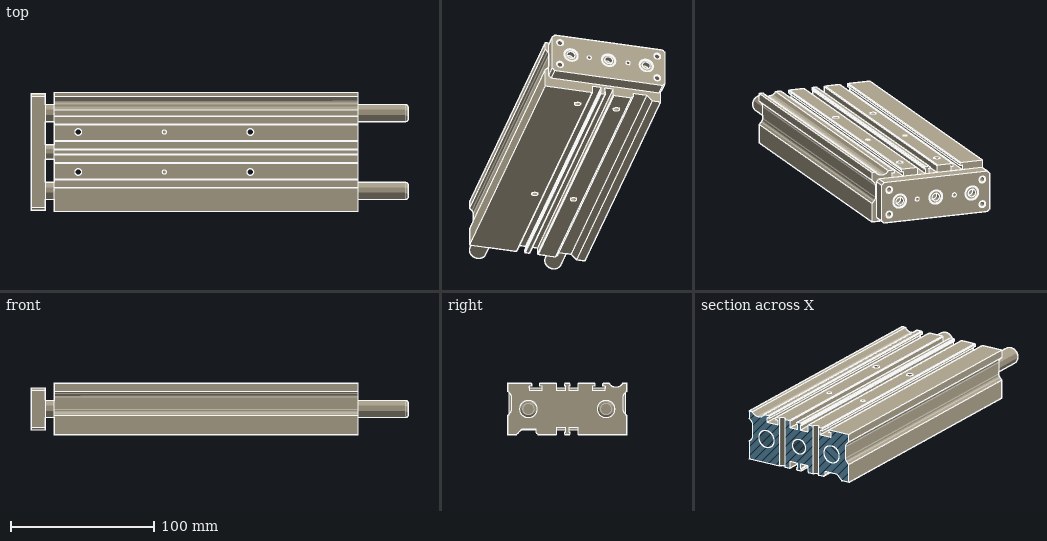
import cadquery as cq

TOTAL_LENGTH = 263.0
PLATE_THICKNESS = 10.0
HOUSING_START = 16.0
HOUSING_END = 228.0

HOUSING_WIDTH = 83.0
HOUSING_HEIGHT = 36.0
HALF_WIDTH = HOUSING_WIDTH / 2
HALF_HEIGHT = HOUSING_HEIGHT / 2

T_SLOT_OFFSET = 22.0
T_SLOT_MOUTH = 5.3
T_SLOT_WIDTH = 8.7
T_SLOT_LIP = 2.0
T_SLOT_DEPTH = 5.3

CHANNEL_WIDTH = 14.7
CHANNEL_DEPTH = 5.3
RAIL_HEAD_WIDTH = 4.0
RAIL_HEAD_THICKNESS = 1.8
RAIL_NECK_WIDTH = 2.5

EDGE_BEVEL = 0.5

ROUND_GROOVE_OFFSET = 34.0
ROUND_GROOVE_WIDTH = 9.5
ROUND_GROOVE_DEPTH = 2.5
ROUND_GROOVE_FLAT = 0.8

BOTTOM_GROOVE_INNER = 21.8
BOTTOM_GROOVE_OUTER = 35.5
BOTTOM_GROOVE_DEPTH = 4.0
BOTTOM_GROOVE_CHAMFER = 1.5

SIDE_GROOVE_HEIGHT = 16.8
SIDE_GROOVE_DEPTH = 2.5
SIDE_GROOVE_CENTRE = 4.0
SIDE_GROOVE_FILLET = 3.5

MOUNT_HOLE_DIAMETER = 4.5
MOUNT_HOLE_START = 33.0
MOUNT_HOLE_PITCH = 120.0
PIN_HOLE_DIAMETER = 3.0
PIN_HOLE_DEPTH = 5.3
HOLE_OFFSET = 14.0

PLATE_WIDTH = 81.3
PLATE_HEIGHT = 29.5
PLATE_CHAMFER = 1.8
CORNER_HOLE_DIAMETER = 4.0
CORNER_HOLE_CHAMFER = 0.5
CORNER_HOLE_OFFSET_Y = 35.0
CORNER_HOLE_OFFSET_Z = 9.0

GUIDE_ROD_DIAMETER = 12.0
GUIDE_ROD_OFFSET = 27.0
GUIDE_ROD_FILLET = 2.0
PISTON_ROD_DIAMETER = 10.3
PISTON_ROD_END = 210.5
SPIGOT_DIAMETER = 9.0
SPIGOT_HOLE_CHAMFER = 0.65
SOCKET_DIAMETER = 5.5
SOCKET_DEPTH = 5.3


def x_cylinder(diameter, start, end, y=0.0, z=0.0):
    """Cylinder along X from start to end."""
    return (
        cq.Workplane("YZ", origin=(start, y, z))
        .circle(diameter / 2)
        .extrude(end - start)
    )


def profile_plane():
    """YZ plane at the front end of the housing."""
    return cq.Workplane("YZ", origin=(HOUSING_START, 0, 0))


def housing_bar(y_min, y_max, z_min, z_max):
    """Rectangular bar as long as the housing."""
    length = HOUSING_END - HOUSING_START
    size = (length, y_max - y_min, z_max - z_min)
    return cq.Workplane().box(*size, centered=False).translate((HOUSING_START, y_min, z_min))


def extrude_profile(sketch):
    """Close a section and extend it along the whole housing."""
    return sketch.close().extrude(HOUSING_END - HOUSING_START)


def beveled_mouth(width, depth, y=0.0):
    """Slot of the top face that widens by a 45 degree bevel at each upper edge."""
    half = width / 2
    floor = HALF_HEIGHT - depth
    bevel_bottom = HALF_HEIGHT - EDGE_BEVEL
    return extrude_profile(
        profile_plane()
        .moveTo(y - half - EDGE_BEVEL, HALF_HEIGHT)
        .lineTo(y - half, bevel_bottom)
        .lineTo(y - half, floor)
        .lineTo(y + half, floor)
        .lineTo(y + half, bevel_bottom)
        .lineTo(y + half + EDGE_BEVEL, HALF_HEIGHT)
    )


def t_slot(y):
    """Slot with a narrow mouth and a wider room below it."""
    room = housing_bar(
        y - T_SLOT_WIDTH / 2,
        y + T_SLOT_WIDTH / 2,
        HALF_HEIGHT - T_SLOT_DEPTH,
        HALF_HEIGHT - T_SLOT_LIP,
    )
    return beveled_mouth(T_SLOT_MOUTH, T_SLOT_DEPTH, y).union(room)


def central_channel():
    """Channel of the top face, cut around its T-shaped rail."""
    neck = housing_bar(
        -RAIL_NECK_WIDTH / 2,
        RAIL_NECK_WIDTH / 2,
        HALF_HEIGHT - CHANNEL_DEPTH,
        HALF_HEIGHT,
    )
    head = housing_bar(
        -RAIL_HEAD_WIDTH / 2,
        RAIL_HEAD_WIDTH / 2,
        HALF_HEIGHT - RAIL_HEAD_THICKNESS,
        HALF_HEIGHT,
    )
    head = head.faces(">Z").edges("|X").chamfer(EDGE_BEVEL)
    return beveled_mouth(CHANNEL_WIDTH, CHANNEL_DEPTH).cut(neck).cut(head)


def round_groove():
    """Groove of the top face: a narrow flat floor between two circular arcs tangent to it."""
    flat_half = ROUND_GROOVE_FLAT / 2
    run = ROUND_GROOVE_WIDTH / 2 - flat_half
    radius = (run**2 + ROUND_GROOVE_DEPTH**2) / (2 * ROUND_GROOVE_DEPTH)
    bottom = HALF_HEIGHT - ROUND_GROOVE_DEPTH
    inner_rim = ROUND_GROOVE_OFFSET - ROUND_GROOVE_WIDTH / 2
    outer_rim = ROUND_GROOVE_OFFSET + ROUND_GROOVE_WIDTH / 2
    return extrude_profile(
        profile_plane()
        .moveTo(inner_rim, HALF_HEIGHT)
        .radiusArc((ROUND_GROOVE_OFFSET - flat_half, bottom), -radius)
        .lineTo(ROUND_GROOVE_OFFSET + flat_half, bottom)
        .radiusArc((outer_rim, HALF_HEIGHT), -radius)
    )


def bottom_groove():
    """Groove of the bottom face: one side upright with a chamfered edge, the other at 45 degrees."""
    floor = -HALF_HEIGHT + BOTTOM_GROOVE_DEPTH
    return extrude_profile(
        profile_plane()
        .moveTo(-BOTTOM_GROOVE_INNER + BOTTOM_GROOVE_CHAMFER, -HALF_HEIGHT)
        .lineTo(-BOTTOM_GROOVE_INNER, -HALF_HEIGHT + BOTTOM_GROOVE_CHAMFER)
        .lineTo(-BOTTOM_GROOVE_INNER, floor)
        .lineTo(-BOTTOM_GROOVE_OUTER + BOTTOM_GROOVE_DEPTH, floor)
        .lineTo(-BOTTOM_GROOVE_OUTER, -HALF_HEIGHT)
    )


def side_groove():
    """Groove of the +Y side with 45 degree flanks that blend into its floor."""
    floor = HALF_WIDTH - SIDE_GROOVE_DEPTH
    mouth_half = SIDE_GROOVE_HEIGHT / 2
    floor_half = mouth_half - SIDE_GROOVE_DEPTH
    groove = extrude_profile(
        profile_plane()
        .moveTo(HALF_WIDTH, SIDE_GROOVE_CENTRE + mouth_half)
        .lineTo(floor, SIDE_GROOVE_CENTRE + floor_half)
        .lineTo(floor, SIDE_GROOVE_CENTRE - floor_half)
        .lineTo(HALF_WIDTH, SIDE_GROOVE_CENTRE - mouth_half)
    )
    return groove.faces("<Y").edges("|X").fillet(SIDE_GROOVE_FILLET)


def vertical_holes(x_positions, diameter, depth):
    """Pairs of holes drilled down from the top face."""
    points = [(x, y) for x in x_positions for y in (-HOLE_OFFSET, HOLE_OFFSET)]
    return (
        cq.Workplane("XY", origin=(0, 0, HALF_HEIGHT))
        .pushPoints(points)
        .circle(diameter / 2)
        .extrude(-depth)
    )


def make_housing():
    housing = housing_bar(-HALF_WIDTH, HALF_WIDTH, -HALF_HEIGHT, HALF_HEIGHT)
    for side in (-1, 1):
        housing = housing.cut(t_slot(side * T_SLOT_OFFSET))

    housing = housing.cut(central_channel()).cut(central_channel().mirror("XY"))
    housing = housing.cut(side_groove()).cut(side_groove().mirror("XZ"))
    housing = housing.cut(round_groove()).cut(bottom_groove())

    mount_x = (MOUNT_HOLE_START, MOUNT_HOLE_START + MOUNT_HOLE_PITCH)
    pin_x = sum(mount_x) / 2
    housing = housing.cut(vertical_holes(mount_x, MOUNT_HOLE_DIAMETER, HOUSING_HEIGHT))
    housing = housing.cut(vertical_holes([pin_x], PIN_HOLE_DIAMETER, PIN_HOLE_DEPTH))

    for side in (-1, 1):
        bore = x_cylinder(GUIDE_ROD_DIAMETER, HOUSING_START, HOUSING_END, side * GUIDE_ROD_OFFSET)
        housing = housing.cut(bore)
    return housing.cut(x_cylinder(PISTON_ROD_DIAMETER, HOUSING_START, PISTON_ROD_END))


def chamfered_hole(diameter, chamfer, y, z=0.0):
    """Hole through the plate, widened by a chamfer at its outer face."""
    hole = x_cylinder(diameter, 0, PLATE_THICKNESS, y, z)
    countersink = (
        cq.Workplane("YZ", origin=(0, y, z))
        .circle(diameter / 2 + chamfer)
        .extrude(chamfer, taper=45)
    )
    return hole.union(countersink)


def make_plate():
    plate = (
        cq.Workplane()
        .box(PLATE_THICKNESS, PLATE_WIDTH, PLATE_HEIGHT)
        .translate((PLATE_THICKNESS / 2, 0, 0))
        .edges("|X")
        .chamfer(PLATE_CHAMFER)
    )
    for y in (-GUIDE_ROD_OFFSET, 0, GUIDE_ROD_OFFSET):
        plate = plate.cut(chamfered_hole(SPIGOT_DIAMETER, SPIGOT_HOLE_CHAMFER, y))
    for side in (-1, 1):
        plate = plate.cut(x_cylinder(PIN_HOLE_DIAMETER, 0, PLATE_THICKNESS, side * HOLE_OFFSET))
        for z in (-CORNER_HOLE_OFFSET_Z, CORNER_HOLE_OFFSET_Z):
            y = side * CORNER_HOLE_OFFSET_Y
            plate = plate.cut(chamfered_hole(CORNER_HOLE_DIAMETER, CORNER_HOLE_CHAMFER, y, z))
    return plate


def add_spigot(shaft, y):
    """Extend a shaft through the plate by a spigot with a socket in its end."""
    spigot = x_cylinder(SPIGOT_DIAMETER, 0, PLATE_THICKNESS, y)
    socket = x_cylinder(SOCKET_DIAMETER, 0, SOCKET_DEPTH, y)
    return shaft.union(spigot).cut(socket)


def make_guide_rod(y):
    shaft = x_cylinder(GUIDE_ROD_DIAMETER, PLATE_THICKNESS, TOTAL_LENGTH, y)
    shaft = shaft.faces(">X").edges().fillet(GUIDE_ROD_FILLET)
    return add_spigot(shaft, y)


def make_piston_rod():
    return add_spigot(x_cylinder(PISTON_ROD_DIAMETER, PLATE_THICKNESS, PISTON_ROD_END), 0)


housing = make_housing()
plate = make_plate()
piston_rod = make_piston_rod()
guide_rods = [make_guide_rod(side * GUIDE_ROD_OFFSET) for side in (-1, 1)]

result = cq.Compound.makeCompound(
    [housing.val(), plate.val(), piston_rod.val(), *[rod.val() for rod in guide_rods]]
)